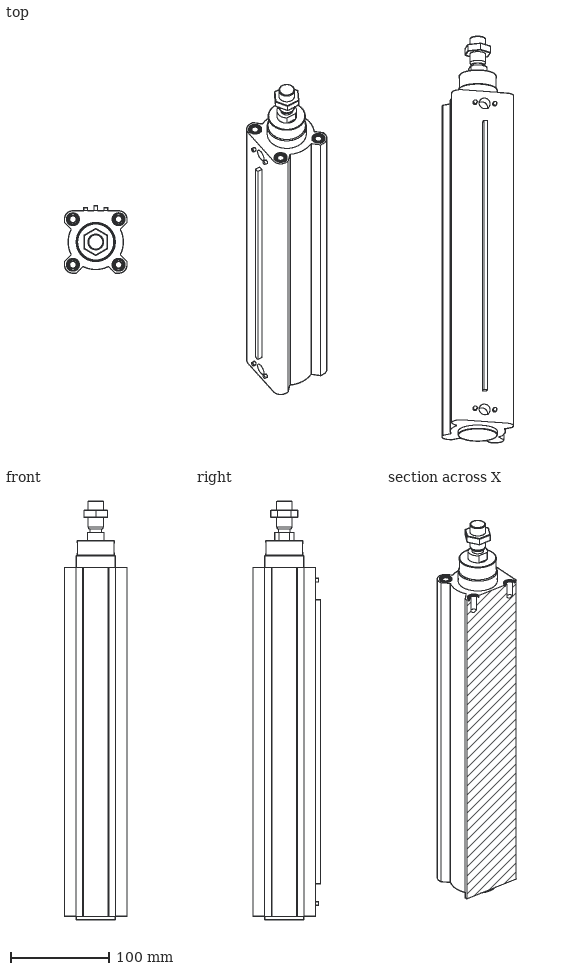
import cadquery as cq
import math

body_length = 356.0
body_half_width = 32.0
barrel_radius = 28.25
screw_offset = 23.25
corner_radius = body_half_width - screw_offset
lug_flat_end = 20.0
bevel_run = 6.7

collar_diameter = 40.0
collar_base_length = 12.6
collar_nose_diameter = 38.0
collar_length = 27.5
collar_waist_diameter = 37.4
spigot_length = 4.0
rim_chamfer = 0.5
nose_chamfer = 0.6
collar_base_chamfer = 1.0

head_bore_diameter = 13.2
head_diameter = 12.0
head_groove_depth = 2.0
head_chamfer = 0.8
mouth_diameter = 8.0
thread_hole_diameter = 6.65
thread_hole_depth = 16.0
drill_tip_angle = 118.0

rail_width = 4.0
rail_height = 5.0
rail_length = 290.0
port_diameter = 11.45
port_depth = 12.0
port_end_distance = 13.0
cushion_screw_diameter = 4.0
cushion_screw_offset = 10.3
cushion_screw_height = 3.0

rod_diameter = 20.0
rod_flat_width = 17.0
thread_diameter = 16.0
thread_length = 32.0
thread_tip_diameter = 14.38
thread_root_diameter = 13.9
neck_diameter = 12.0
neck_length = 3.2
thread_runout_length = 2.4
rod_projection = 67.8
shoulder_height = rod_projection - thread_length

nut_across_flats = 24.0
nut_height = 7.5
nut_chamfer = 0.5
nut_tip_distance = 9.5


def cylinder(diameter, bottom, top):
    return cq.Workplane("XY").workplane(offset=bottom).circle(diameter / 2).extrude(top - bottom)


def corner_lug(x_side, y_side):
    """Corner lug: a round outer corner, flat sides and 45 degree bevels running into the barrel."""
    outer = body_half_width
    inner = lug_flat_end - bevel_run
    arc_middle = screw_offset + corner_radius * math.sqrt(0.5)

    def place(x, y):
        return x_side * x, y_side * y

    return (
        cq.Workplane("XY")
        .moveTo(*place(outer, lug_flat_end))
        .lineTo(*place(outer, screw_offset))
        .threePointArc(place(arc_middle, arc_middle), place(screw_offset, outer))
        .lineTo(*place(lug_flat_end, outer))
        .lineTo(*place(inner, outer - bevel_run))
        .lineTo(*place(0, outer - bevel_run))
        .lineTo(0, 0)
        .lineTo(*place(outer - bevel_run, 0))
        .lineTo(*place(outer - bevel_run, inner))
        .close()
        .extrude(-body_length)
    )


def make_barrel():
    barrel = cylinder(2 * barrel_radius, -body_length, 0)
    for x_side in (-1, 1):
        for y_side in (-1, 1):
            barrel = barrel.union(corner_lug(x_side, y_side))
    rear_wall = (
        cq.Workplane("XY")
        .rect(2 * lug_flat_end, body_half_width, centered=(True, False))
        .extrude(-body_length)
    )
    return barrel.union(rear_wall)


def make_collar():
    """Front collar: a chamfered base, and a nose whose side is slightly hollow."""
    base = cylinder(collar_diameter, 0, collar_base_length).faces(">Z").chamfer(collar_base_chamfer)
    nose_radius = collar_nose_diameter / 2
    nose_edge = collar_length - nose_chamfer
    waist = (collar_waist_diameter / 2, (collar_base_length + nose_edge) / 2)
    nose = (
        cq.Workplane("XZ")
        .lineTo(nose_radius, 0)
        .lineTo(nose_radius, collar_base_length)
        .threePointArc(waist, (nose_radius, nose_edge))
        .lineTo(nose_radius - nose_chamfer, collar_length)
        .lineTo(0, collar_length)
        .close()
        .revolve(360, (0, 0), (0, 1))
    )
    return base.union(nose)


def make_spigot():
    spigot = cylinder(collar_diameter, -body_length - spigot_length, -body_length)
    return spigot.faces("<Z").chamfer(rim_chamfer)


def screw_recess():
    """Material removed at one corner screw: groove around the head, and the hole in it."""
    head = cylinder(head_diameter, -head_groove_depth, 0).faces(">Z").chamfer(head_chamfer)
    groove = cylinder(head_bore_diameter, -head_groove_depth, 0).cut(head)
    mouth_radius = mouth_diameter / 2
    hole_radius = thread_hole_diameter / 2
    tip_length = hole_radius / math.tan(math.radians(drill_tip_angle / 2))
    hole = (
        cq.Workplane("XZ")
        .lineTo(mouth_radius, 0)
        .lineTo(hole_radius, hole_radius - mouth_radius)
        .lineTo(hole_radius, -thread_hole_depth)
        .lineTo(0, -thread_hole_depth - tip_length)
        .close()
        .revolve(360, (0, 0), (0, 1))
    )
    return groove.union(hole)


def rear_cylinder(diameter, x, z, height):
    """Cylinder on the +Y face; a negative height goes into the housing."""
    rear_plane = cq.Plane(origin=(x, body_half_width, z), xDir=(1, 0, 0), normal=(0, 1, 0))
    return cq.Workplane(rear_plane).circle(diameter / 2).extrude(height)


def make_housing():
    housing = make_barrel().union(make_collar()).union(make_spigot())
    for x_side in (-1, 1):
        for y_side in (-1, 1):
            position = (x_side * screw_offset, y_side * screw_offset, 0)
            housing = housing.cut(screw_recess().translate(position))
    rail = cq.Workplane("XY").box(rail_width, 2 * rail_height, rail_length)
    housing = housing.union(rail.translate((0, body_half_width, -body_length / 2)))
    for z in (-port_end_distance, port_end_distance - body_length):
        housing = housing.cut(rear_cylinder(port_diameter, 0, z, -port_depth))
        for x in (-cushion_screw_offset, cushion_screw_offset):
            housing = housing.union(rear_cylinder(cushion_screw_diameter, x, z, cushion_screw_height))
    return housing.cut(cylinder(rod_diameter, 0, collar_length))


def make_rod():
    """Rod with two wrench flats above the collar, a thread relief neck and a threaded end."""
    shank = cylinder(rod_diameter, 0, shoulder_height)
    flat_section = cq.Workplane("XY").workplane(offset=collar_length).rect(rod_flat_width, 2 * rod_diameter)
    flat_section = flat_section.extrude(shoulder_height - collar_length)
    shank = shank.intersect(cylinder(rod_diameter, 0, collar_length).union(flat_section))

    thread_radius = thread_diameter / 2
    tip_radius = thread_tip_diameter / 2
    neck_top = shoulder_height + neck_length
    threaded_end = (
        cq.Workplane("XZ")
        .moveTo(0, shoulder_height)
        .lineTo(neck_diameter / 2, shoulder_height)
        .lineTo(neck_diameter / 2, neck_top)
        .lineTo(thread_root_diameter / 2, neck_top)
        .lineTo(thread_radius, neck_top + thread_runout_length)
        .lineTo(thread_radius, rod_projection - (thread_radius - tip_radius))
        .lineTo(tip_radius, rod_projection)
        .lineTo(0, rod_projection)
        .close()
        .revolve(360, (0, 0), (0, 1))
    )
    return shank.union(threaded_end)


def make_nut():
    """Hexagon nut with a fine chamfer around both faces, bored to fit the rod thread."""
    across_corners = nut_across_flats / math.cos(math.radians(30))
    bottom = rod_projection - nut_tip_distance - nut_height
    top = bottom + nut_height
    hexagon = (
        cq.Workplane("XY")
        .workplane(offset=bottom)
        .transformed(rotate=(0, 0, 90))
        .polygon(6, across_corners)
        .extrude(nut_height)
    )
    return hexagon.faces("<Z or >Z").chamfer(nut_chamfer).cut(cylinder(thread_diameter, bottom, top))


housing = make_housing()
rod = make_rod()
nut = make_nut()
result = cq.Compound.makeCompound([housing.val(), rod.val(), nut.val()])